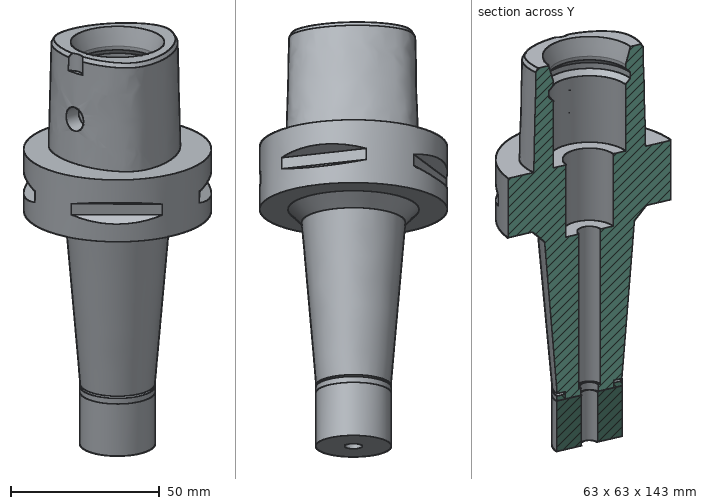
import cadquery as cq
import math

total_height = 143.0
flange_top = 105.0
flange_bottom = 83.0
collar_bottom = 78.4
neck_bottom = 21.3
ring_top = 20.6
nut_top = 18.6

flange_diameter = 63.0
flange_radius = flange_diameter / 2
collar_radius = 22.0
neck_top_radius = 17.5
neck_bottom_radius = 12.6
nut_radius = 12.7
spigot_radius = 9.5

shank_base_radius = 22.2
shank_taper = 1 / 40
lobe_height = 1.5
outline_points = 36
rim_chamfer_height = 1.5
rim_chamfer_inset = 0.9

mouth_radius = 15.7
bore_radius = 13.9
mouth_depth = 6.3
lip_depth = 7.7
groove_radius = 15.7
groove_depth = 13.6
groove_flank = groove_radius - bore_radius
counterbore_radius = 9.0
channel_radius = 4.1
outlet_radius = 3.3
nut_hole_radius = 3.0

notch_radius = 4.6
notch_depth = 6.1
notch_inner_y = -18.2
pocket_radius = 4.1
pocket_height = 120.5
pocket_floor_y = -14.3

slot_count = 4
slot_first_angle = 45.0
slot_height = 93.1
slot_floor_width = 3.9
slot_floor_distance = 27.6
slot_flank_angle = 26.0


def lobed_wire(radius, height):
    """Closed constant-width outline with one lobe pointing to +Y."""
    points = []
    for index in range(outline_points):
        angle = 2 * math.pi * index / outline_points
        phase = 3 * (angle - math.pi / 2)
        reach = radius + lobe_height * math.cos(phase)
        shift = -3 * lobe_height * math.sin(phase)
        x = reach * math.cos(angle) - shift * math.sin(angle)
        y = reach * math.sin(angle) + shift * math.cos(angle)
        points.append(cq.Vector(x, y, height))
    return cq.Wire.assembleEdges([cq.Edge.makeSpline(points, periodic=True)])


def make_shank():
    chamfer_start = total_height - rim_chamfer_height
    rim_radius = shank_base_radius - shank_taper * (chamfer_start - flange_top)
    base = lobed_wire(shank_base_radius, flange_top)
    rim = lobed_wire(rim_radius, chamfer_start)
    top = lobed_wire(rim_radius - rim_chamfer_inset, total_height)
    taper = cq.Solid.makeLoft([base, rim], True)
    chamfer = cq.Solid.makeLoft([rim, top], True)
    return cq.Workplane(taper).union(cq.Workplane(chamfer))


def make_turned_body():
    """Flange, cone, tapered neck and spigot turned about the Z axis."""
    profile = [
        (0, nut_top),
        (spigot_radius, nut_top),
        (spigot_radius, neck_bottom),
        (neck_bottom_radius, neck_bottom),
        (neck_top_radius, collar_bottom),
        (collar_radius, flange_bottom),
        (flange_radius, flange_bottom),
        (flange_radius, flange_top),
        (0, flange_top),
    ]
    return cq.Workplane("XZ").polyline(profile).close().revolve(360, (0, 0), (0, 1))


def make_bore():
    """Tapered mouth, clamping groove, bore, counterbore and coolant channel with its outlet."""
    profile = [
        (0, total_height),
        (mouth_radius, total_height),
        (bore_radius, total_height - mouth_depth),
        (bore_radius, total_height - lip_depth),
        (groove_radius, total_height - lip_depth - groove_flank),
        (groove_radius, total_height - groove_depth + groove_flank),
        (bore_radius, total_height - groove_depth),
        (bore_radius, flange_top),
        (counterbore_radius, flange_top),
        (counterbore_radius, collar_bottom),
        (channel_radius, collar_bottom),
        (channel_radius, neck_bottom),
        (outlet_radius, neck_bottom),
        (outlet_radius, nut_top),
        (0, nut_top),
    ]
    return cq.Workplane("XZ").polyline(profile).close().revolve(360, (0, 0), (0, 1))


def make_notch():
    """Round-backed key notch open at the top face."""
    return (
        cq.Workplane("XY", origin=(0, notch_inner_y - notch_radius, total_height))
        .circle(notch_radius)
        .extrude(-notch_depth)
    )


def make_pocket():
    """Blind radial hole entering the shank from -Y."""
    return (
        cq.Workplane("XZ", origin=(0, pocket_floor_y, pocket_height))
        .circle(pocket_radius)
        .extrude(flange_radius + pocket_floor_y)
    )


def make_slot(angle):
    """Straight slot with sloping flanks, cut across the flange rim."""
    depth = flange_radius - slot_floor_distance
    floor_half = slot_floor_width / 2
    mouth_half = floor_half + depth * math.tan(math.radians(slot_flank_angle))
    section = [
        (slot_floor_distance, slot_height - floor_half),
        (flange_radius, slot_height - mouth_half),
        (flange_radius, slot_height + mouth_half),
        (slot_floor_distance, slot_height + floor_half),
    ]
    slot = cq.Workplane("XZ").polyline(section).close().extrude(flange_radius, both=True)
    return slot.rotate((0, 0, 0), (0, 0, 1), angle)


def make_holder():
    holder = make_turned_body().union(make_shank())
    holder = holder.cut(make_bore()).cut(make_notch()).cut(make_pocket())
    for index in range(slot_count):
        holder = holder.cut(make_slot(slot_first_angle + index * 360 / slot_count))
    return holder


def make_ring():
    """Flat ring around the spigot."""
    return (
        cq.Workplane("XY", origin=(0, 0, nut_top))
        .circle(nut_radius)
        .circle(spigot_radius)
        .extrude(ring_top - nut_top)
    )


def make_nut():
    """Cylindrical nut below the ring, with a through hole."""
    return cq.Workplane("XY").circle(nut_radius).circle(nut_hole_radius).extrude(nut_top)


holder = make_holder()
ring = make_ring()
nut = make_nut()

result = cq.Compound.makeCompound([holder.val(), ring.val(), nut.val()])